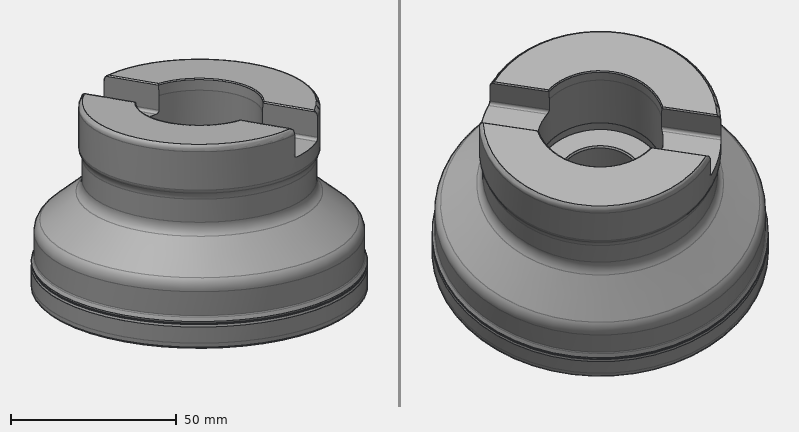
import cadquery as cq
import math

total_height = 60.33
foot_radius = 101.65 / 2

foot_chamfer = 0.6
rim_height = 1.9
band_radius = 101.6 / 2
groove_bottom_z = 7.1
groove_floor_low_z = 7.8
groove_floor_high_z = 8.1
groove_top_z = 8.4
groove_depth = 0.25
shoulder_bottom_z = 8.9
shoulder_top_z = 9.9
shoulder_fillet = 0.6

body_radius = 100.0 / 2
neck_radius = 71.0 / 2
cone_base_z = 20.6
cone_slope = math.radians(40)
cone_blend_radius = 5.0

head_radius = 73.0 / 2
neck_end_z = 42.6
under_head_concave_radius = 4.0
under_head_convex_radius = 2.0
head_edge_width = 1.15
head_edge_height = 1.95
slot_width = 16.2
slot_depth = 9.5
slot_floor_fillet = 1.0
slot_edge_chamfer = 0.4

pilot_radius = 38.1 / 2
relief_radius = 39.1 / 2
mouth_radius = relief_radius
lead_in_radius = 38.4 / 2
lead_in_depth = 3.7
pilot_depth = 23.0
seat_depth = 26.6
through_radius = 25.0 / 2
through_chamfer = 0.5


def arc_middle(center, radius, start_angle, end_angle):
    """Point half way along an arc, in (radius, height) coordinates."""
    angle = (start_angle + end_angle) / 2
    return (center[0] + radius * math.cos(angle), center[1] + radius * math.sin(angle))


def outer_body():
    """Solid of revolution with the complete outside shape."""
    cone_top_z = cone_base_z + (body_radius - neck_radius) * math.tan(cone_slope)
    turn = math.pi / 2 - cone_slope
    tangent_length = cone_blend_radius * math.tan(turn / 2)
    tangent_r = tangent_length * math.cos(cone_slope)
    tangent_z = tangent_length * math.sin(cone_slope)
    lower_center = (body_radius - cone_blend_radius, cone_base_z - tangent_length)
    upper_center = (neck_radius + cone_blend_radius, cone_top_z + tangent_length)

    blend_radii = under_head_concave_radius + under_head_convex_radius
    swing = math.acos(1 - (head_radius - neck_radius) / blend_radii)
    concave_center = (neck_radius + under_head_concave_radius, neck_end_z)
    inflection = (
        concave_center[0] - under_head_concave_radius * math.cos(swing),
        concave_center[1] + under_head_concave_radius * math.sin(swing),
    )
    head_base_z = neck_end_z + blend_radii * math.sin(swing)
    convex_center = (head_radius - under_head_convex_radius, head_base_z)

    edge_angle = 2 * math.atan(head_edge_width / head_edge_height)
    edge_radius = head_edge_height / math.sin(edge_angle)
    edge_center = (head_radius - edge_radius, total_height - head_edge_height)

    corner_center = (body_radius + shoulder_fillet, shoulder_top_z + shoulder_fillet)
    corner_end = (
        corner_center[0] - shoulder_fillet * math.cos(math.pi / 4),
        corner_center[1] - shoulder_fillet * math.sin(math.pi / 4),
    )
    groove_radius = band_radius - groove_depth

    profile = (
        cq.Workplane("XZ")
        .moveTo(0, 0)
        .lineTo(foot_radius - foot_chamfer, 0)
        .lineTo(foot_radius, foot_chamfer)
        .lineTo(foot_radius, rim_height)
        .lineTo(band_radius, groove_bottom_z)
        .lineTo(groove_radius, groove_floor_low_z)
        .lineTo(groove_radius, groove_floor_high_z)
        .lineTo(band_radius, groove_top_z)
        .lineTo(band_radius, shoulder_bottom_z)
        .lineTo(*corner_end)
        .threePointArc(
            arc_middle(corner_center, shoulder_fillet, math.pi, math.pi * 5 / 4),
            (body_radius, corner_center[1]),
        )
        .lineTo(body_radius, lower_center[1])
        .threePointArc(
            arc_middle(lower_center, cone_blend_radius, 0, turn),
            (body_radius - tangent_r, cone_base_z + tangent_z),
        )
        .lineTo(neck_radius + tangent_r, cone_top_z - tangent_z)
        .threePointArc(
            arc_middle(upper_center, cone_blend_radius, math.pi, math.pi + turn),
            (neck_radius, upper_center[1]),
        )
        .lineTo(neck_radius, neck_end_z)
        .threePointArc(
            arc_middle(concave_center, under_head_concave_radius, math.pi, math.pi - swing),
            inflection,
        )
        .threePointArc(
            arc_middle(convex_center, under_head_convex_radius, -swing, 0),
            (head_radius, head_base_z),
        )
        .lineTo(head_radius, edge_center[1])
        .threePointArc(
            arc_middle(edge_center, edge_radius, 0, edge_angle),
            (head_radius - head_edge_width, total_height),
        )
        .lineTo(0, total_height)
        .close()
    )
    return profile.revolve(360, (0, 0, 0), (0, 1, 0))


def bore():
    """Stepped bore: chamfer, tapered lead-in, pilot, relief, seat and through hole."""
    entry_chamfer = mouth_radius - lead_in_radius
    seat_z = total_height - seat_depth
    profile = (
        cq.Workplane("XZ")
        .moveTo(0, 0)
        .lineTo(through_radius, 0)
        .lineTo(through_radius, seat_z - through_chamfer)
        .lineTo(through_radius + through_chamfer, seat_z)
        .lineTo(relief_radius, seat_z)
        .lineTo(relief_radius, total_height - pilot_depth)
        .lineTo(pilot_radius, total_height - pilot_depth)
        .lineTo(pilot_radius, total_height - lead_in_depth)
        .lineTo(lead_in_radius, total_height - entry_chamfer)
        .lineTo(mouth_radius, total_height)
        .lineTo(0, total_height)
        .close()
    )
    return profile.revolve(360, (0, 0, 0), (0, 1, 0))


def driving_slot():
    """Slot along X across the head, with rounded floor corners and chamfered top edges."""
    slot_length = 2 * foot_radius
    half_width = slot_width / 2
    floor_z = total_height - slot_depth
    channel = (
        cq.Workplane("XY", origin=(0, 0, floor_z))
        .rect(slot_length, slot_width)
        .extrude(slot_depth)
        .edges("|X and <Z")
        .fillet(slot_floor_fillet)
    )
    edge_bevel = (
        cq.Workplane("YZ", origin=(-slot_length / 2, 0, 0))
        .moveTo(-half_width, total_height - slot_edge_chamfer)
        .lineTo(half_width, total_height - slot_edge_chamfer)
        .lineTo(half_width + slot_edge_chamfer, total_height)
        .lineTo(-half_width - slot_edge_chamfer, total_height)
        .close()
        .extrude(slot_length)
    )
    return channel.union(edge_bevel)


result = outer_body().cut(bore()).cut(driving_slot())